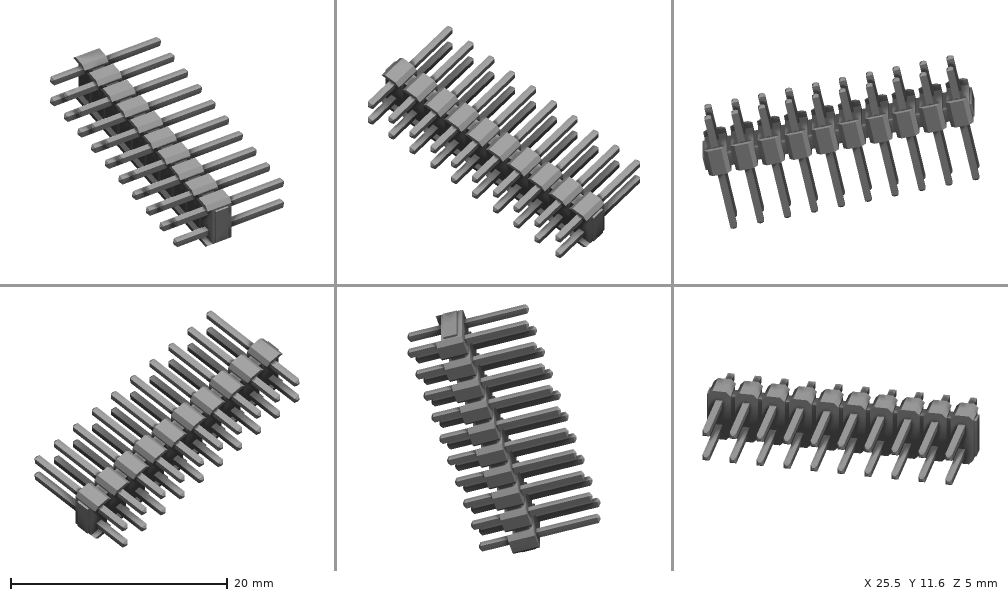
import cadquery as cq

UNIT_COUNT = 10
PITCH = 2.55

BLOCK_WIDTH = 2.1
BLOCK_HEIGHT = 5.0
BLOCK_DEPTH = 2.55
CORNER_CHAMFER = 0.4

RECESS_DEPTH = 0.53
RECESS_HEIGHT = BLOCK_HEIGHT - 2 * CORNER_CHAMFER

BRIDGE_DEPTH = 1.3
BRIDGE_HEIGHT = 3.75
BRIDGE_BACK_INSET = 0.45
BRIDGE_BACK = BLOCK_DEPTH - BRIDGE_BACK_INSET

PIN_SIZE = 0.64
PIN_TAPER = 0.2
PIN_FRONT_REACH = 3.0
PIN_BACK_REACH = 6.1
PIN_LENGTH = PIN_FRONT_REACH + BLOCK_DEPTH + PIN_BACK_REACH


def box_from_front(width, depth, height, front):
    """Box centred on X and Z that runs from Y = front toward +Y."""
    return cq.Workplane("XY").box(width, depth, height, centered=(True, False, True)).translate((0, front, 0))


def make_insulator():
    """Chamfered block with a recessed mounting face and a bridge to each side."""
    block = box_from_front(BLOCK_WIDTH, BLOCK_DEPTH, BLOCK_HEIGHT, 0)
    block = block.edges("|Y").chamfer(CORNER_CHAMFER)
    recess = box_from_front(BLOCK_WIDTH, RECESS_DEPTH, RECESS_HEIGHT, 0)
    bridge = box_from_front(PITCH, BRIDGE_DEPTH, BRIDGE_HEIGHT, BRIDGE_BACK - BRIDGE_DEPTH)
    return block.cut(recess).union(bridge)


def make_pin(height):
    """Square pin along Y at the given Z, tapered on all sides at both ends."""
    pin = box_from_front(PIN_SIZE, PIN_LENGTH, PIN_SIZE, -PIN_FRONT_REACH)
    pin = pin.faces("<Y or >Y").chamfer(PIN_TAPER)
    return pin.translate((0, 0, height))


def make_unit(center_x):
    """One header unit: an insulator with its two pins, as a single solid."""
    unit = make_insulator()
    for height in (-PITCH / 2, PITCH / 2):
        unit = unit.union(make_pin(height))
    return unit.translate((center_x, 0, 0))


units = []
for index in range(UNIT_COUNT):
    center_x = (index - (UNIT_COUNT - 1) / 2) * PITCH
    units.append(make_unit(center_x).solids().val())

result = cq.Compound.makeCompound(units)